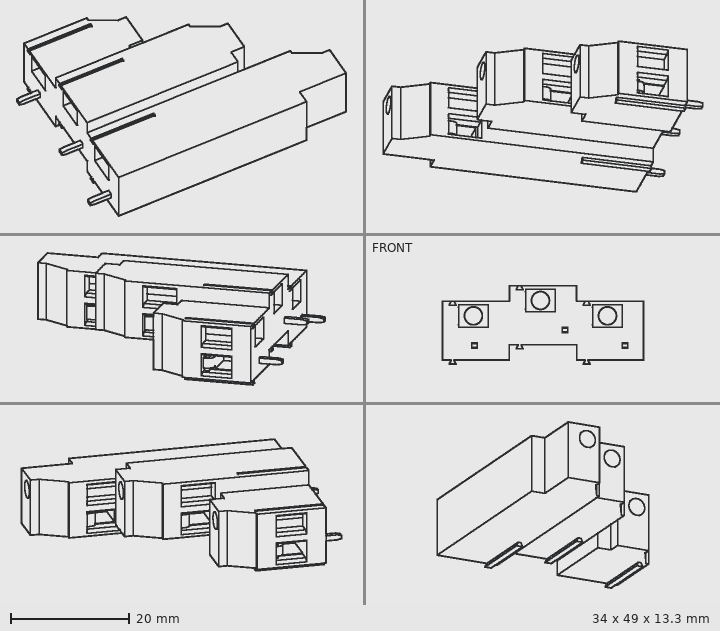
import cadquery as cq


OVERALL_WIDTH = 34.05
OVERALL_HEIGHT = 13.3
MODULE_COUNT = 3
PITCH = OVERALL_WIDTH / MODULE_COUNT
BODY_HEIGHT = 10.0
TIER_RISE = 2.6
LENGTH_STEP = 13.48
LONGEST = 45.0
OVERALL_LENGTH = 49
PIN_LENGTH = OVERALL_LENGTH - LONGEST

LEDGE_WIDTH = 0.55
LEDGE_SETBACK = 6.0
TIP_LEFT = 2.95
TIP_RIGHT = 8.85
TIP_STRAIGHT = 1.5

DOVETAIL_X = 1.7
DOVETAIL_LENGTH = 12.0
DOVETAIL_DEPTH = OVERALL_HEIGHT - BODY_HEIGHT - TIER_RISE
DOVETAIL_NECK = 0.5
DOVETAIL_WIDE = 1.2

TUNNEL_LEFT = 2.75
TUNNEL_WIDTH = 5.0
TUNNEL_BOTTOM = 5.6
TUNNEL_HEIGHT = 3.8
TUNNEL_PAST_WINDOW = 3.3
SCREW_HOLE_DIAMETER = 3.0
TUNNEL_MID_X = TUNNEL_LEFT + TUNNEL_WIDTH / 2
TUNNEL_MID_Z = TUNNEL_BOTTOM + TUNNEL_HEIGHT / 2

CONTACT_WINDOW_BOTTOM = 0.55
CONTACT_WINDOW_HEIGHT = 3.9
FUNNEL_DEPTH = 0.85
FUNNEL_RISE = 0.45

CHAMBER_STEP = 0.15
CONTACT_FACE_X = 1.1
CONTACT_WIDTH = 1.65
CONTACT_RADIUS = 1.05
SHOULDER_FACE_X = 1.75
SHOULDER_WIDTH = 0.85
SHOULDER_RADIUS = 0.25
PASSAGE_HEIGHT = CONTACT_WINDOW_HEIGHT - 2 * FUNNEL_RISE

PIN_SIDE = 0.95
PIN_Z = 2.5
PIN_TIP_HEIGHT = 0.6
PIN_TIP_LENGTH = 0.8

MODULES = [
    dict(
        rise=0,
        pin_x=5.45,
        window=(3.4, 8.7),
        chamber_inset=0,
        contact_height=1.75,
        contact_gap=0,
        has_shoulder=True,
        cutback=2.55,
    ),
    dict(
        rise=TIER_RISE,
        pin_x=9.4,
        window=(16.35, 22.35),
        chamber_inset=0,
        contact_height=2.35,
        contact_gap=0.25,
        has_shoulder=False,
        cutback=2.55,
    ),
    dict(
        rise=0,
        pin_x=8.25,
        window=(30.05, 35.8),
        chamber_inset=0.3,
        contact_height=2.35,
        contact_gap=0.25,
        has_shoulder=False,
        cutback=8.9,
    ),
]


def box(x0, x1, y0, y1, z0, z1):
    """Box between two opposite corners."""
    return cq.Workplane("XY").box(x1 - x0, y1 - y0, z1 - z0, centered=False).translate((x0, y0, z0))


def body(length, cutback):
    """Module body with the stepped and slanted tip."""
    outline = [
        (0, 0),
        (PITCH, 0),
        (PITCH, length - cutback),
        (TIP_RIGHT, length - cutback),
        (TIP_RIGHT, length),
        (TIP_LEFT, length),
        (TIP_LEFT, length - TIP_STRAIGHT),
        (LEDGE_WIDTH, length - LEDGE_SETBACK),
        (0, length - LEDGE_SETBACK),
    ]
    return cq.Workplane("XY").polyline(outline).close().extrude(BODY_HEIGHT)


def dovetail(top_z):
    """Dovetail bar, narrow at the top and wide at the bottom."""
    profile = [
        (DOVETAIL_X - DOVETAIL_NECK / 2, top_z),
        (DOVETAIL_X + DOVETAIL_NECK / 2, top_z),
        (DOVETAIL_X + DOVETAIL_WIDE / 2, top_z - DOVETAIL_DEPTH),
        (DOVETAIL_X - DOVETAIL_WIDE / 2, top_z - DOVETAIL_DEPTH),
    ]
    return cq.Workplane("XZ").polyline(profile).close().extrude(-DOVETAIL_LENGTH)


def side_window(near, far, bottom, height):
    """Side window: sloping floor and roof, then a straight passage."""
    top = bottom + height
    profile = [
        (0, bottom),
        (FUNNEL_DEPTH, bottom + FUNNEL_RISE),
        (TUNNEL_LEFT, bottom + FUNNEL_RISE),
        (TUNNEL_LEFT, top - FUNNEL_RISE),
        (FUNNEL_DEPTH, top - FUNNEL_RISE),
        (0, top),
    ]
    return cq.Workplane("XZ", origin=(0, near, 0)).polyline(profile).close().extrude(near - far)


def wire_tunnel(end):
    """Rectangular tunnel open at the wire face."""
    return box(
        TUNNEL_LEFT, TUNNEL_LEFT + TUNNEL_WIDTH,
        0, end,
        TUNNEL_BOTTOM, TUNNEL_BOTTOM + TUNNEL_HEIGHT,
    )


def screw_hole(length):
    """Round hole along the whole module, centred on the wire tunnel."""
    axis = cq.Workplane("XZ", origin=(TUNNEL_MID_X, 0, TUNNEL_MID_Z))
    return axis.circle(SCREW_HOLE_DIAMETER / 2).extrude(-length)


def contact_chamber(near, far):
    """Chamber behind the contact window."""
    inset = FUNNEL_RISE + CHAMBER_STEP
    return box(
        TUNNEL_LEFT, TUNNEL_LEFT + TUNNEL_WIDTH,
        near, far,
        CONTACT_WINDOW_BOTTOM + inset, CONTACT_WINDOW_BOTTOM + CONTACT_WINDOW_HEIGHT - inset,
    )


def rounded_post(face_x, near, far, height, radius):
    """Upright post in the contact window with one rounded corner."""
    mid_z = CONTACT_WINDOW_BOTTOM + CONTACT_WINDOW_HEIGHT / 2
    block = box(face_x, TUNNEL_LEFT, near, far, mid_z - height / 2, mid_z + height / 2)
    return block.edges("|Z and <X and <Y").fillet(radius)


def pin(x):
    """Square solder pin, thinned in height toward its tip."""
    half = PIN_SIDE / 2
    half_tip = PIN_TIP_HEIGHT / 2
    taper_start = PIN_TIP_LENGTH - PIN_LENGTH
    profile = [
        (0, PIN_Z - half),
        (taper_start, PIN_Z - half),
        (-PIN_LENGTH, PIN_Z - half_tip),
        (-PIN_LENGTH, PIN_Z + half_tip),
        (taper_start, PIN_Z + half),
        (0, PIN_Z + half),
    ]
    return cq.Workplane("YZ", origin=(x - half, 0, 0)).polyline(profile).close().extrude(PIN_SIDE)


def module(
    length, rise, pin_x, window, chamber_inset, contact_height, contact_gap, has_shoulder, cutback
):
    """One complete terminal module at x = 0, lifted by its rise."""
    near, far = window
    contact_near = far - contact_gap - CONTACT_WIDTH
    part = body(length, cutback)
    part = part.cut(dovetail(BODY_HEIGHT))
    part = part.cut(wire_tunnel(far + TUNNEL_PAST_WINDOW))
    part = part.cut(screw_hole(length))
    part = part.cut(side_window(near, far, TUNNEL_BOTTOM, TUNNEL_HEIGHT))
    part = part.cut(side_window(near, far, CONTACT_WINDOW_BOTTOM, CONTACT_WINDOW_HEIGHT))
    part = part.cut(contact_chamber(near + chamber_inset, contact_near))
    contact = rounded_post(CONTACT_FACE_X, contact_near, far, contact_height, CONTACT_RADIUS)
    part = part.union(contact)
    if has_shoulder:
        shoulder_near = far - SHOULDER_WIDTH
        shoulder = rounded_post(SHOULDER_FACE_X, shoulder_near, far, PASSAGE_HEIGHT, SHOULDER_RADIUS)
        part = part.union(shoulder)
    part = part.union(dovetail(0))
    part = part.union(pin(pin_x))
    return part.translate((0, 0, rise))


result = cq.Workplane("XY")
for index, sizes in enumerate(MODULES):
    length = LONGEST - (MODULE_COUNT - 1 - index) * LENGTH_STEP
    result = result.union(module(length, **sizes).translate((index * PITCH, 0, 0)))